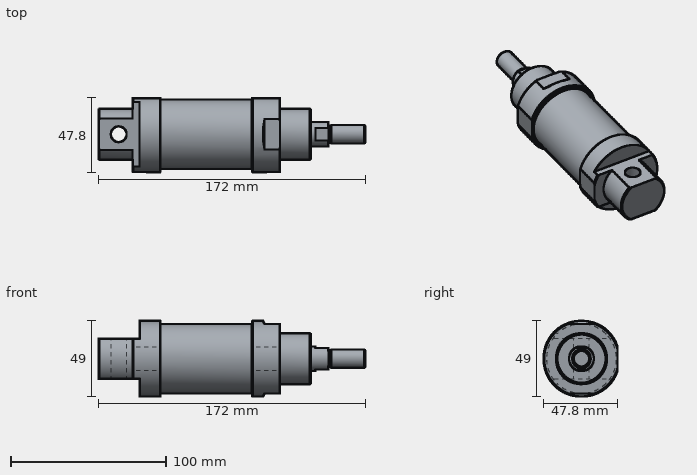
import cadquery as cq
import math


cap_diameter = 49.0
cap_radius = cap_diameter / 2
side_flat_offset = 23.3
edge_chamfer = 0.5
spigot_diameter = 33.0
spigot_chamfer = 1.0

tang_length = 22.0
tang_thickness = 26.0
tang_flat_length = 26.5
tang_chamfer = 0.7
pin_hole_diameter = 10.0
pin_hole_x = 13.0
rear_cap_end = 40.0

tube_diameter = 45.0
tube_end = 98.5

land_diameter = 44.8
collar_start = 99.0
front_cap_end = 117.0
wrench_flat_thickness = tube_diameter
wrench_flat_start = 107.0
wrench_flat_wall_angle = 30.0
nose_end = 137.0

rod_diameter = 16.0
rod_flat_thickness = 14.0
rod_flat_start = 139.6
rod_shoulder = 148.0
neck_diameter = 10.0
thread_diameter = 12.0
thread_start = 149.0
thread_chamfer = 1.0
rod_end = 172.0


def cylinder_between(start, end, diameter):
    """Solid cylinder on the X axis."""
    return cq.Workplane("YZ", origin=(start, 0, 0)).circle(diameter / 2).extrude(end - start)


def box_between(x_range, y_range, z_range):
    """Box given by its limits on each axis."""
    lows, highs = zip(x_range, y_range, z_range)
    sizes = [high - low for low, high in zip(lows, highs)]
    return cq.Workplane("XY").box(*sizes, centered=False).translate(lows)


def cut_side_flat(body, start, end):
    """Trim the +Y side of a cap to a flat."""
    trim = box_between((start, end), (side_flat_offset, cap_radius), (-cap_radius, cap_radius))
    return body.cut(trim)


def make_rear_cap():
    tang = cylinder_between(0, tang_length, spigot_diameter).faces("<X").chamfer(tang_chamfer)
    collar = cylinder_between(tang_length, rear_cap_end, cap_diameter).edges().chamfer(edge_chamfer)
    body = cut_side_flat(tang.union(collar), tang_length, rear_cap_end)
    for low, high in ((tang_thickness / 2, cap_radius), (-cap_radius, -tang_thickness / 2)):
        body = body.cut(box_between((0, tang_flat_length), (-cap_radius, cap_radius), (low, high)))
    pin_hole = (
        cq.Workplane("XY", origin=(pin_hole_x, 0, -tang_thickness / 2))
        .circle(pin_hole_diameter / 2)
        .extrude(tang_thickness)
    )
    return body.cut(pin_hole)


def make_tube():
    return cylinder_between(rear_cap_end, tube_end, tube_diameter)


def wrench_flat_cutter():
    """Wedge that cuts the +Z wrench flat, with a leaning end wall."""
    flat_height = wrench_flat_thickness / 2
    wall_run = (cap_radius - flat_height) * math.tan(math.radians(wrench_flat_wall_angle))
    return (
        cq.Workplane("XZ")
        .moveTo(wrench_flat_start, flat_height)
        .lineTo(front_cap_end, flat_height)
        .lineTo(front_cap_end, cap_radius)
        .lineTo(wrench_flat_start - wall_run, cap_radius)
        .close()
        .extrude(cap_radius, both=True)
    )


def make_front_cap():
    land = cylinder_between(tube_end, collar_start, land_diameter)
    collar = cylinder_between(collar_start, front_cap_end, cap_diameter).edges().chamfer(edge_chamfer)
    nose = cylinder_between(front_cap_end, nose_end, spigot_diameter).faces(">X").chamfer(spigot_chamfer)
    body = cut_side_flat(land.union(collar).union(nose), collar_start, front_cap_end)
    cutter = wrench_flat_cutter()
    return body.cut(cutter).cut(cutter.mirror("XY"))


def make_rod():
    shank = cylinder_between(nose_end, rod_shoulder, rod_diameter)
    rod_radius = rod_diameter / 2
    flat_height = rod_flat_thickness / 2
    for low, high in ((flat_height, rod_radius), (-rod_radius, -flat_height)):
        shank = shank.cut(
            box_between((rod_flat_start, rod_shoulder), (-rod_radius, rod_radius), (low, high))
        )
    neck = cylinder_between(rod_shoulder, thread_start, neck_diameter)
    thread = cylinder_between(thread_start, rod_end, thread_diameter).edges().chamfer(thread_chamfer)
    return shank.union(neck).union(thread)


rear_cap = make_rear_cap()
tube = make_tube()
front_cap = make_front_cap()
rod = make_rod()

result = cq.Compound.makeCompound([rear_cap.val(), tube.val(), front_cap.val(), rod.val()])